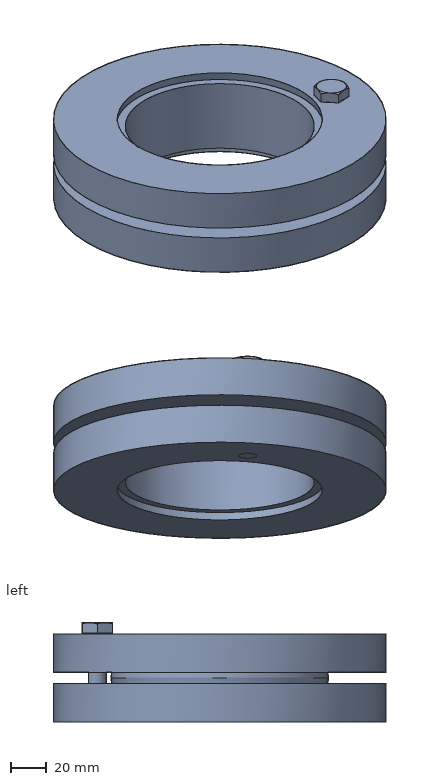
import cadquery as cq
import math

FLANGE_DIAMETER = 185.0
FLANGE_THICKNESS = 21.5
FLANGE_GAP = 6.1
RIM_DIAMETER = 114.0
flange_inner_z = FLANGE_GAP / 2
flange_outer_z = flange_inner_z + FLANGE_THICKNESS

RING_BORE = 105.0
RING_MID_DIAMETER = 121.2
RING_RECESS = 4.5
ring_half_height = flange_outer_z - RING_RECESS

BOLT_Y = 68.0
SHANK_DIAMETER = 10.0
HEAD_ACROSS_FLATS = 17.0
HEAD_HEIGHT = 6.3
WASHER_FACE_DIAMETER = 15.4
WASHER_FACE_HEIGHT = 0.4
HEAD_CHAMFER_ANGLE = 30.0
HEAD_TOP_DIAMETER = 16.8
head_across_corners = HEAD_ACROSS_FLATS / math.cos(math.radians(30))
head_bottom_z = flange_outer_z + WASHER_FACE_HEIGHT
head_top_z = flange_outer_z + HEAD_HEIGHT


def taper_radius(z):
    """Radius of the shared seat taper at a height above the mid plane."""
    mid_radius = RING_MID_DIAMETER / 2
    rim_radius = RIM_DIAMETER / 2
    return mid_radius + (rim_radius - mid_radius) * z / flange_outer_z


def cylinder(diameter, bottom_z, top_z, y=0):
    return (
        cq.Workplane("XY", origin=(0, y, bottom_z))
        .circle(diameter / 2)
        .extrude(top_z - bottom_z)
    )


def make_flange(side):
    """Flange above (side = 1) or below (side = -1) the mid plane."""
    profile = [
        (taper_radius(flange_inner_z), side * flange_inner_z),
        (FLANGE_DIAMETER / 2, side * flange_inner_z),
        (FLANGE_DIAMETER / 2, side * flange_outer_z),
        (taper_radius(flange_outer_z), side * flange_outer_z),
    ]
    flange = cq.Workplane("XZ").polyline(profile).close().revolve(360, (0, 0), (0, 1))
    return flange.cut(cylinder(SHANK_DIAMETER, -flange_outer_z, flange_outer_z, BOLT_Y))


def make_ring():
    end_radius = taper_radius(ring_half_height)
    profile = [
        (RING_BORE / 2, -ring_half_height),
        (end_radius, -ring_half_height),
        (RING_MID_DIAMETER / 2, 0),
        (end_radius, ring_half_height),
        (RING_BORE / 2, ring_half_height),
    ]
    return cq.Workplane("XZ").polyline(profile).close().revolve(360, (0, 0), (0, 1))


def make_head():
    """Hexagon with its top corners trimmed by a cone."""
    hexagon = (
        cq.Workplane("XY", origin=(0, BOLT_Y, head_bottom_z))
        .polygon(6, head_across_corners)
        .extrude(head_top_z - head_bottom_z)
    )
    chamfer_width = (head_across_corners - HEAD_TOP_DIAMETER) / 2
    chamfer_drop = chamfer_width * math.tan(math.radians(HEAD_CHAMFER_ANGLE))
    envelope = (
        cylinder(head_across_corners, head_bottom_z, head_top_z, BOLT_Y)
        .faces(">Z")
        .chamfer(chamfer_drop, chamfer_width)
    )
    return hexagon.intersect(envelope)


def make_bolt():
    """Bolt whose shank ends flush with the lower flange's outer face."""
    shank = cylinder(SHANK_DIAMETER, -flange_outer_z, flange_outer_z, BOLT_Y)
    washer_face = cylinder(WASHER_FACE_DIAMETER, flange_outer_z, head_bottom_z, BOLT_Y)
    return shank.union(washer_face).union(make_head())


flanges = [make_flange(side) for side in (1, -1)]
ring = make_ring()
bolt = make_bolt()

result = cq.Compound.makeCompound(
    [*(flange.val() for flange in flanges), ring.val(), bolt.val()]
)